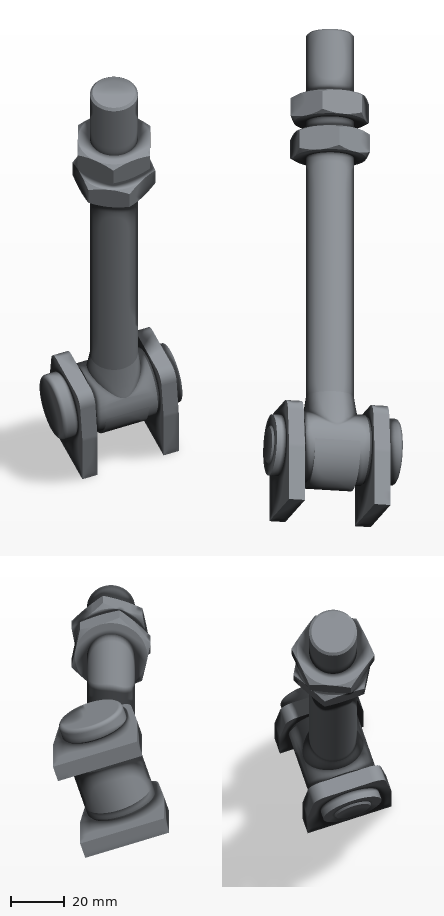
import cadquery as cq
import math

ROD_DIAMETER = 18.0
ROD_TOP = 185.0
ROD_CHAMFER = 1.0

PIN_AXIS_Z = 25.0
BARREL_RADIUS = 13.3
BARREL_LENGTH = 24.6
PIN_RADIUS = 7.2

FLARE_TOP = 44.8
FLARE_MIDDLE_RADIUS = 10.2
FLARE_MIDDLE_Z = 37.7
FLARE_FOOT_RADIUS = 12.2
FLARE_FOOT_Z = 29.2

PAD_WIDTH = 17.4
PAD_DEPTH = 15.7

PLATE_WIDTH = 33.0
PLATE_THICKNESS = 6.1
PLATE_HEIGHT = 40.0
PLATE_TOP_WIDTH = 27.4
PLATE_SHOULDER_Z = 20.9
PLATE_CORNER_RADIUS = 5.0
PLATE_SHOULDER_RADIUS = 7.4
PLATE_INNER_Y = 13.3
PLATE_OUTER_Y = PLATE_INNER_Y + PLATE_THICKNESS

SPACER_RADIUS = 12.5
SPACER_THICKNESS = PLATE_INNER_Y - BARREL_LENGTH / 2

HEAD_RADIUS = 12.5
HEAD_LENGTH = 6.0
HEAD_OUTER_FILLET = 1.5
HEAD_INNER_CHAMFER = 0.5
RING_RADIUS = 11.5
RING_THICKNESS = 3.5
PIN_OVERHANG = 0.7
PIN_TIP_CHAMFER = 0.5

NUT_ACROSS_FLATS = 27.0
NUT_HEIGHT = 9.2
NUT_CHAMFER_ANGLE = 30.0
NUTS = [(137.0, 0.0), (151.0, 37.0)]


def y_cylinder(radius, y_start, length):
    """Cylinder around the pin axis, from y_start towards +Y."""
    start = cq.Vector(0, y_start, PIN_AXIS_Z)
    return cq.Workplane(cq.Solid.makeCylinder(radius, length, start, cq.Vector(0, 1, 0)))


def make_eye_rod():
    """Rod, flare, barrel and pad in one piece, bored for the pin."""
    rod_radius = ROD_DIAMETER / 2
    rod = (
        cq.Workplane("XY", origin=(0, 0, FLARE_TOP))
        .circle(rod_radius)
        .extrude(ROD_TOP - FLARE_TOP)
        .faces(">Z")
        .chamfer(ROD_CHAMFER)
    )
    flare = (
        cq.Workplane("XZ")
        .moveTo(0, FLARE_FOOT_Z)
        .lineTo(FLARE_FOOT_RADIUS, FLARE_FOOT_Z)
        .threePointArc((FLARE_MIDDLE_RADIUS, FLARE_MIDDLE_Z), (rod_radius, FLARE_TOP))
        .lineTo(0, FLARE_TOP)
        .close()
        .revolve(360, (0, 0), (0, 1))
    )
    barrel = y_cylinder(BARREL_RADIUS, -BARREL_LENGTH / 2, BARREL_LENGTH)
    pad = (
        cq.Workplane("XZ", origin=(0, PAD_WIDTH / 2, PIN_AXIS_Z))
        .ellipseArc(BARREL_RADIUS, PAD_DEPTH, 180, 360, startAtCurrent=False)
        .close()
        .extrude(PAD_WIDTH)
    )
    bore = y_cylinder(PIN_RADIUS, -BARREL_LENGTH / 2, BARREL_LENGTH)
    return rod.union(flare).union(barrel).union(pad).cut(bore)


def make_plate(y_start):
    """Upright plate with tapered, rounded shoulders and a pin hole."""
    half_width = PLATE_WIDTH / 2
    half_top = PLATE_TOP_WIDTH / 2
    outline = [
        (-half_width, 0),
        (half_width, 0),
        (half_width, PLATE_SHOULDER_Z),
        (half_top, PLATE_HEIGHT),
        (-half_top, PLATE_HEIGHT),
        (-half_width, PLATE_SHOULDER_Z),
    ]
    plate = (
        cq.Workplane("XZ", origin=(0, y_start, 0))
        .polyline(outline)
        .close()
        .extrude(-PLATE_THICKNESS)
    )
    shoulder_mid = (PLATE_SHOULDER_Z + PIN_AXIS_Z) / 2
    shoulder_zone = cq.selectors.BoxSelector(
        (-PLATE_WIDTH, -PLATE_WIDTH, PLATE_SHOULDER_Z / 2), (PLATE_WIDTH, PLATE_WIDTH, shoulder_mid)
    )
    plate = plate.edges("|Y and >Z").fillet(PLATE_CORNER_RADIUS)
    plate = plate.edges("|Y").edges(shoulder_zone).fillet(PLATE_SHOULDER_RADIUS)
    return plate.cut(y_cylinder(PIN_RADIUS, y_start, PLATE_THICKNESS))


def make_washer(radius, y_start, thickness):
    """Flat ring around the pin."""
    return y_cylinder(radius, y_start, thickness).cut(y_cylinder(PIN_RADIUS, y_start, thickness))


def make_pin():
    """Pin with a wide head against the -Y plate and a chamfered tip beyond the retaining ring."""
    head = y_cylinder(HEAD_RADIUS, -PLATE_OUTER_Y - HEAD_LENGTH, HEAD_LENGTH)
    head = head.faces("<Y").edges().fillet(HEAD_OUTER_FILLET)
    head = head.faces(">Y").edges().chamfer(HEAD_INNER_CHAMFER)
    shank_length = 2 * PLATE_OUTER_Y + RING_THICKNESS + PIN_OVERHANG
    shank = y_cylinder(PIN_RADIUS, -PLATE_OUTER_Y, shank_length)
    shank = shank.faces(">Y").edges().chamfer(PIN_TIP_CHAMFER)
    return head.union(shank)


def make_nut(underside_z, turn):
    """Hexagon nut whose corners are chamfered at both ends."""
    corner_radius = NUT_ACROSS_FLATS / math.sqrt(3)
    chamfer_width = corner_radius - NUT_ACROSS_FLATS / 2
    chamfer_height = chamfer_width * math.tan(math.radians(NUT_CHAMFER_ANGLE))
    hexagon = cq.Workplane("XY").polygon(6, 2 * corner_radius).extrude(NUT_HEIGHT)
    chamfered_blank = (
        cq.Workplane("XY")
        .circle(corner_radius)
        .extrude(NUT_HEIGHT)
        .faces("<Z or >Z")
        .chamfer(chamfer_height, chamfer_width)
    )
    bore = cq.Workplane("XY").circle(ROD_DIAMETER / 2).extrude(NUT_HEIGHT)
    nut = hexagon.intersect(chamfered_blank).cut(bore)
    return nut.rotate((0, 0, 0), (0, 0, 1), turn).translate((0, 0, underside_z))


eye_rod = make_eye_rod()
plates = [make_plate(y) for y in (-PLATE_OUTER_Y, PLATE_INNER_Y)]
spacers = [
    make_washer(SPACER_RADIUS, y, SPACER_THICKNESS) for y in (-PLATE_INNER_Y, BARREL_LENGTH / 2)
]
pin = make_pin()
retaining_ring = make_washer(RING_RADIUS, PLATE_OUTER_Y, RING_THICKNESS)
nuts = [make_nut(underside_z, turn) for underside_z, turn in NUTS]

bodies = [eye_rod, *plates, *spacers, pin, retaining_ring, *nuts]
result = cq.Compound.makeCompound([body.solids().val() for body in bodies])